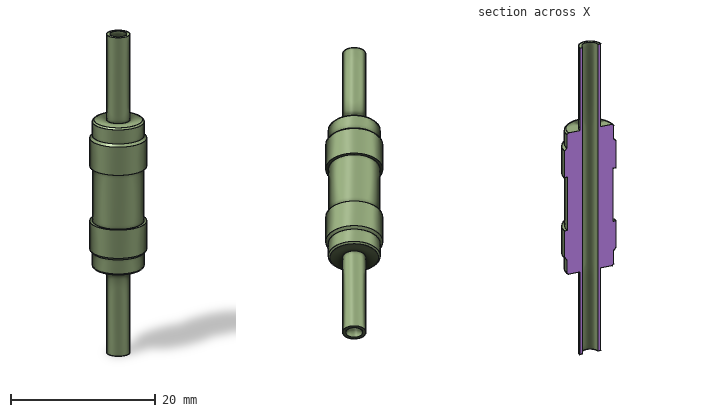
import cadquery as cq

total_length = 46.85
tube_diameter = 3.25
bore_diameter = 2.35

body_length = 21.65
body_diameter = 7.2
body_edge_chamfer = 0.25
waist_length = 8.05
waist_diameter = 7.1

collar_diameter = 7.9
collar_length = 4.5
collar_chamfer = (collar_diameter - body_diameter) / 2


def cylinder(diameter, length):
    """Cylinder along Z, centred on the origin."""
    start = cq.Workplane("XY").workplane(offset=-length / 2)
    return start.circle(diameter / 2).extrude(length)


def end_cap(side):
    """Collar and stepped end; side is +1 for the upper one, -1 for the lower one."""
    inner_face = cq.Workplane("XY").workplane(offset=side * waist_length / 2)
    outward = ">Z" if side > 0 else "<Z"
    cap_length = (body_length - waist_length) / 2
    collar = inner_face.circle(collar_diameter / 2).extrude(side * collar_length)
    collar = collar.faces(outward).chamfer(collar_chamfer)
    cap = inner_face.circle(body_diameter / 2).extrude(side * cap_length)
    cap = cap.faces(outward).chamfer(body_edge_chamfer)
    return collar.union(cap)


tube = cylinder(tube_diameter, total_length)
waist = cylinder(waist_diameter, waist_length)
bore = cylinder(bore_diameter, total_length)

result = tube.union(waist)
for side in (1, -1):
    result = result.union(end_cap(side))
result = result.cut(bore)